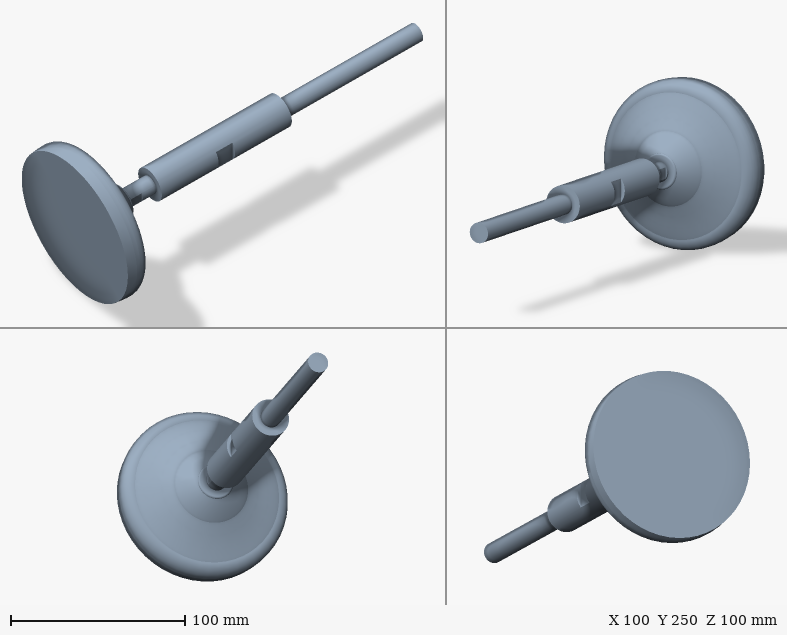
import cadquery as cq


foot_radius = 50.0
foot_base_radius = 49.3
foot_height = 35.1
band_bottom = 6.2
shoulder_height = 16.0
shoulder_rounding = 7.0
band_top = shoulder_height - shoulder_rounding
shoulder_radius = foot_radius - shoulder_rounding
flank_top_radius = 22.0
flank_top_height = 25.0
flank_hollow = (31.6, 20.4)
dome_top_radius = 10.6
dome_top_height = 34.0
dome_bulge = (17.0, 29.9)
rim_rounding = foot_height - dome_top_height
rim_radius = dome_top_radius - rim_rounding

spindle_diameter = 12.0
overall_length = 250.0
spindle_chamfer = 0.5
spindle_flat_width = 10.0
spindle_flat_length = 8.0
spindle_flat_start = 37.0

sleeve_diameter = 22.0
sleeve_start = 55.0
sleeve_length = 95.0
sleeve_flat_width = 17.0
sleeve_flat_length = 12.0
sleeve_flat_start = sleeve_start + (sleeve_length - sleeve_flat_length) / 2


def cylinder(diameter, start, length):
    """Cylinder on the Y axis from Y = start to Y = start + length."""
    return cq.Workplane("XZ", origin=(0, start, 0)).circle(diameter / 2).extrude(-length)


def cut_wrench_flats(body, diameter, flat_width, start, length):
    """Mill a pair of opposite flats facing -X and +X into a round body."""
    depth = (diameter - flat_width) / 2
    for side in (-1, 1):
        cutter = cq.Workplane("XY").box(depth, length, diameter).translate(
            (side * (flat_width + depth) / 2, start + length / 2, 0)
        )
        body = body.cut(cutter)
    return body


def make_foot():
    """Bell-shaped foot with the spindle seated on its flat top."""
    return (
        cq.Workplane("XY")
        .moveTo(0, 0)
        .lineTo(foot_base_radius, 0)
        .lineTo(foot_radius, band_bottom)
        .lineTo(foot_radius, band_top)
        .radiusArc((shoulder_radius, shoulder_height), -shoulder_rounding)
        .threePointArc(flank_hollow, (flank_top_radius, flank_top_height))
        .threePointArc(dome_bulge, (dome_top_radius, dome_top_height))
        .radiusArc((rim_radius, foot_height), -rim_rounding)
        .lineTo(0, foot_height)
        .close()
        .revolve(360, (0, 0), (0, 1))
    )


def make_spindle():
    """Round rod from the top of the foot to the far end, with wrench flats near the foot."""
    rod = cylinder(spindle_diameter, foot_height, overall_length - foot_height)
    rod = rod.faces("<Y").chamfer(spindle_chamfer)
    return cut_wrench_flats(
        rod, spindle_diameter, spindle_flat_width, spindle_flat_start, spindle_flat_length
    )


def make_sleeve():
    """Tube around the spindle with wrench flats at mid-length."""
    tube = cylinder(sleeve_diameter, sleeve_start, sleeve_length)
    bore = cylinder(spindle_diameter, sleeve_start, sleeve_length)
    return cut_wrench_flats(
        tube.cut(bore), sleeve_diameter, sleeve_flat_width, sleeve_flat_start, sleeve_flat_length
    )


foot = make_foot()
spindle = make_spindle()
sleeve = make_sleeve()

result = cq.Compound.makeCompound([foot.val(), spindle.val(), sleeve.val()])